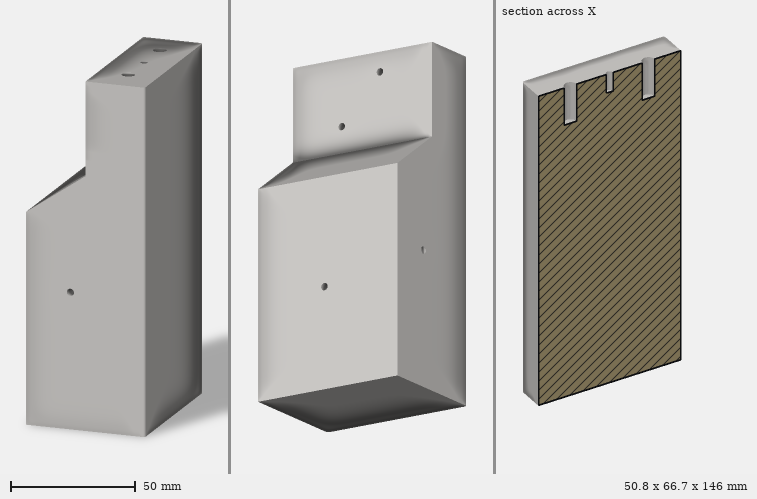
import cadquery as cq

depth_x = 50.8
width_y = 66.7
height_z = 146.0

step_wall_x = 25.4
slope_top_z = 106.5
slope_bottom_z = 88.9

edge_radius = 1.0

small_hole_diameter = 3.0
large_hole_diameter = 5.5
small_hole_depth = 8.8
large_hole_depth = 17.5

top_holes_x = 38.1
large_hole_spacing = 36.5

upper_wall_holes = [(-8.3, 137.5), (10.0, 117.7)]
lower_wall_hole = (1.6, 42.9)

side_hole_x = 19.0
side_hole_z = 57.2


def blind_hole(start, direction, diameter, depth):
    """Cylinder that starts on a face and runs into the block."""
    return cq.Workplane(
        cq.Solid.makeCylinder(diameter / 2, depth, cq.Vector(*start), cq.Vector(*direction))
    )


body = (
    cq.Workplane("XZ")
    .polyline(
        [
            (0, 0),
            (depth_x, 0),
            (depth_x, height_z),
            (step_wall_x, height_z),
            (step_wall_x, slope_top_z),
            (0, slope_bottom_z),
        ]
    )
    .close()
    .extrude(width_y / 2, both=True)
)
body = body.faces(">X").edges("|Z").fillet(edge_radius)

down = (0, 0, -1)
top_centre = (top_holes_x, 0, height_z)
body = body.cut(blind_hole(top_centre, down, small_hole_diameter, small_hole_depth))
for side in (-1, 1):
    start = (top_holes_x, side * large_hole_spacing / 2, height_z)
    body = body.cut(blind_hole(start, down, large_hole_diameter, large_hole_depth))

inward_x = (1, 0, 0)
wall_hole_starts = [(step_wall_x, y, z) for y, z in upper_wall_holes]
wall_hole_starts.append((0, *lower_wall_hole))
for start in wall_hole_starts:
    body = body.cut(blind_hole(start, inward_x, small_hole_diameter, small_hole_depth))

side_start = (side_hole_x, -width_y / 2, side_hole_z)
body = body.cut(blind_hole(side_start, (0, 1, 0), small_hole_diameter, small_hole_depth))

result = body